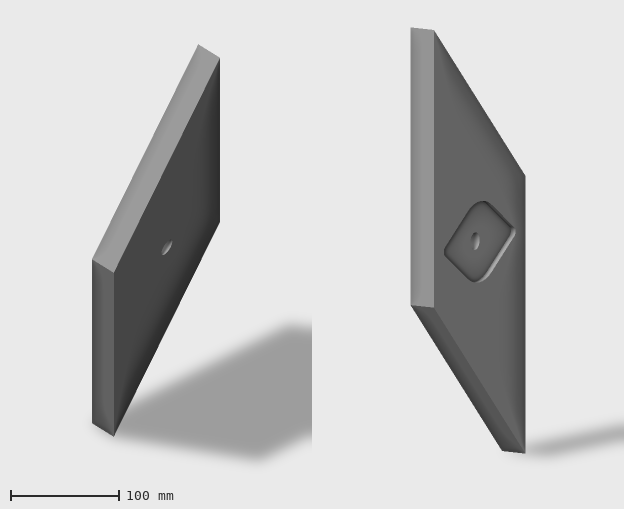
import cadquery as cq
import math

thickness = 25.5
width = 161.5
height = 422.0
hole_diameter = 16.5
pocket_length = 126.5
pocket_middle_radius = 38.0
pocket_tip_radius = 5.0
pocket_depth = 5.0

side_length = height - width
half_width = width / 2
half_height = height / 2
front_face_x = -thickness / 2


def make_plate():
    """Parallelogram plate in the YZ plane, centred on the origin."""
    corners = [
        (half_width, half_height),
        (half_width, half_height - side_length),
        (-half_width, -half_height),
        (-half_width, -half_height + side_length),
    ]
    return cq.Workplane("YZ", origin=(front_face_x, 0, 0)).polyline(corners).close().extrude(thickness)


def make_pocket():
    """Lens outline: a middle circle joined by tangent lines to two small tip circles."""
    tip_end = pocket_length / 2
    tip_center = tip_end - pocket_tip_radius
    slope = math.asin((pocket_middle_radius - pocket_tip_radius) / tip_center)
    middle_y = pocket_middle_radius * math.sin(slope)
    middle_z = pocket_middle_radius * math.cos(slope)
    tip_y = tip_center + pocket_tip_radius * math.sin(slope)
    tip_z = pocket_tip_radius * math.cos(slope)
    return (
        cq.Workplane("YZ", origin=(front_face_x, 0, 0))
        .moveTo(-middle_y, middle_z)
        .threePointArc((0, pocket_middle_radius), (middle_y, middle_z))
        .lineTo(tip_y, tip_z)
        .threePointArc((tip_end, 0), (tip_y, -tip_z))
        .lineTo(middle_y, -middle_z)
        .threePointArc((0, -pocket_middle_radius), (-middle_y, -middle_z))
        .lineTo(-tip_y, -tip_z)
        .threePointArc((-tip_end, 0), (-tip_y, tip_z))
        .close()
        .extrude(pocket_depth)
    )


def make_hole():
    """Central hole through the full thickness."""
    return cq.Workplane("YZ", origin=(front_face_x, 0, 0)).circle(hole_diameter / 2).extrude(thickness)


result = make_plate().cut(make_pocket()).cut(make_hole())